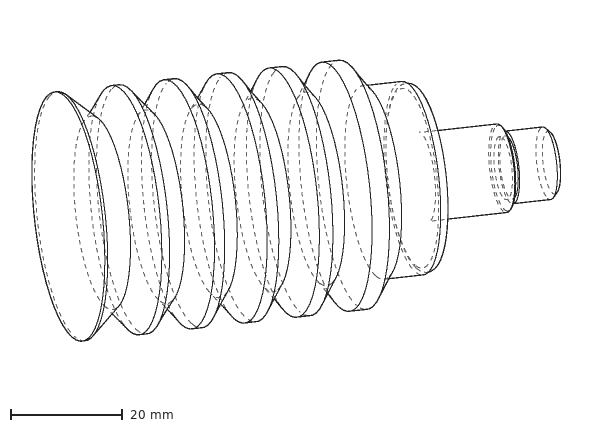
import cadquery as cq

total_length = 90.6
bellows_radius = 45.0 / 2
collar_radius = 35.0 / 2
valley_radius = collar_radius

lip_width = 0.5
first_valley = 6.3
convolutions = [
    (10.7, 12.1, 16.5),
    (20.6, 22.5, 26.4),
    (30.4, 32.6, 36.4),
    (40.2, 42.8, 46.5),
    (50.1, 53.4, 57.2),
]

collar_end = 64.5
disc_radius = 34.2 / 2
disc_end = 66.2
disc_rounding = (disc_end - collar_end) / 2

shaft_radius = 16.0 / 2
shaft_root_fillet = 0.7
shaft_end = 81.5
shaft_chamfer = 0.3
groove_radius = 11.4 / 2
groove_end = 82.6
tip_radius = 13.1 / 2
tip_chamfer = 0.9


def cylinder(radius, start, end):
    """Solid cylinder on the Y axis between two positions."""
    plane = cq.Plane(origin=(0, start, 0), xDir=(1, 0, 0), normal=(0, 1, 0))
    return cq.Workplane(plane).circle(radius).extrude(end - start)


def bellows():
    """Revolved zigzag profile from the front face to the collar."""
    points = [(0, 0), (bellows_radius, 0), (bellows_radius, lip_width), (valley_radius, first_valley)]
    for crest_start, crest_end, foot in convolutions:
        points += [(bellows_radius, crest_start), (bellows_radius, crest_end), (valley_radius, foot)]
    bellows_end = convolutions[-1][-1]
    points.append((0, bellows_end))
    return cq.Workplane("XY").polyline(points).close().revolve(360, (0, 0, 0), (0, 1, 0))


def collar_and_disc():
    """Plain collar carrying a thinner disc with a fully rounded rim."""
    collar = cylinder(collar_radius, convolutions[-1][-1], collar_end)
    flat_radius = disc_radius - disc_rounding
    disc_profile = (
        cq.Workplane("XY")
        .moveTo(0, collar_end)
        .lineTo(flat_radius, collar_end)
        .threePointArc((disc_radius, collar_end + disc_rounding), (flat_radius, disc_end))
        .lineTo(0, disc_end)
        .close()
    )
    return collar.union(disc_profile.revolve(360, (0, 0, 0), (0, 1, 0)))


def root_fillet():
    """Concave ring blending the shaft into the disc."""
    flare_radius = shaft_radius + shaft_root_fillet
    fillet_end = disc_end + shaft_root_fillet
    profile = (
        cq.Workplane("XY")
        .moveTo(0, disc_end)
        .lineTo(flare_radius, disc_end)
        .radiusArc((shaft_radius, fillet_end), shaft_root_fillet)
        .lineTo(0, fillet_end)
        .close()
    )
    return profile.revolve(360, (0, 0, 0), (0, 1, 0))


def stem():
    """Shaft, groove and chamfered tip."""
    shaft = cylinder(shaft_radius, disc_end, shaft_end).faces(">Y").edges().chamfer(shaft_chamfer)
    groove = cylinder(groove_radius, shaft_end, groove_end)
    tip = cylinder(tip_radius, groove_end, total_length).faces(">Y").edges().chamfer(tip_chamfer)
    return shaft.union(root_fillet()).union(groove).union(tip)


result = bellows().union(collar_and_disc()).union(stem())